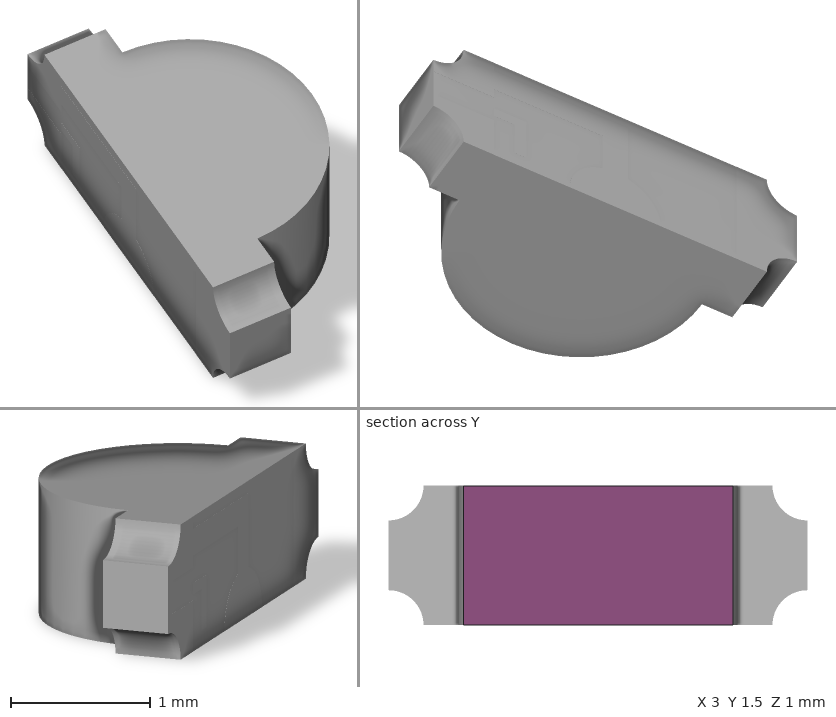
import cadquery as cq

length = 3.0
height = length / 3
bar_depth = length / 6
lens_radius = length / 3
notch_radius = length / 12

metal_thickness = 0.001
pad_width = length / 6
gap_bottom = 0.378
gap_top = 0.625
trace_bottom = 0.71
trace_top = 0.91
stem_width = 0.21
die_pad_radius = 0.375

mark_right = 0.768
mark_bottom = 0.117
mark_top = 0.507
mark_arm_height = 0.085
mark_leg_width = 0.1

middle = length / 2
stem_left = middle - stem_width / 2
stem_right = middle + stem_width / 2


def block(x_min, x_max, y_min, y_max, z_min, z_max):
    """Box given by its limits along each axis."""
    size = (x_max - x_min, y_max - y_min, z_max - z_min)
    return cq.Workplane("XY").box(*size, centered=False).translate((x_min, y_min, z_min))


def metal(x_min, x_max, z_min, z_max):
    """Rectangle of the metal layer, its outer face on Y = 0."""
    return block(x_min, x_max, 0, metal_thickness, z_min, z_max)


def cylinder_along_y(x, radius, depth, z):
    """Cylinder starting at Y = 0 and running toward +Y."""
    return cq.Workplane("XZ").center(x, z).circle(radius).extrude(-depth)


bar = block(0, length, metal_thickness, bar_depth, 0, height)
lens = (
    cq.Workplane("XY")
    .moveTo(middle - lens_radius, bar_depth)
    .threePointArc((middle, bar_depth + lens_radius), (middle + lens_radius, bar_depth))
    .close()
    .extrude(height)
)

left_lower_pad = metal(0, pad_width, 0, gap_bottom)
left_upper_pad = metal(0, pad_width, gap_top, height)
right_pad = metal(length - pad_width, length, 0, height)

trace_arm = metal(pad_width, stem_right, trace_bottom, trace_top)
trace_stem = metal(stem_left, stem_right, 0, trace_top)
die_pad = cylinder_along_y(middle, die_pad_radius, metal_thickness, 0).intersect(
    metal(0, length, 0, height)
)

mark_arm = metal(pad_width, mark_right, mark_top - mark_arm_height, mark_top)
mark_leg = metal(mark_right - mark_leg_width, mark_right, mark_bottom, mark_top)

result = bar.union(lens)
for piece in (
    left_lower_pad,
    left_upper_pad,
    right_pad,
    trace_arm,
    trace_stem,
    die_pad,
    mark_arm,
    mark_leg,
):
    result = result.union(piece)

for x in (0, length):
    for z in (0, height):
        result = result.cut(cylinder_along_y(x, notch_radius, bar_depth, z))